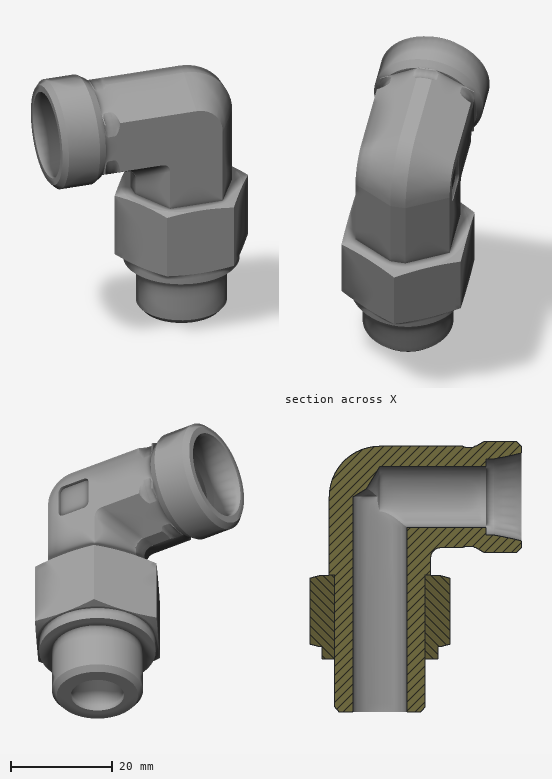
import cadquery as cq
import math

NUT_FLATS = 24.0
NUT_BOTTOM_Z = 12.95
NUT_TOP_Z = 27.0
NUT_CHAMFER_ANGLE = 15
WASHER_DIAMETER = 23
WASHER_BOTTOM_Z = 10.55

STUD_DIAMETER = 18.0
STUD_TIP_DIAMETER = 16.05
STUD_CHAMFER_HEIGHT = 1.1

ARM_FLATS = 18.95
ARM_CUT_HEIGHT = 10.05
INNER_BEND_RADIUS = 1.85
SELECTION_MARGIN = 0.25

COLLAR_DIAMETER = 22.0
COLLAR_BACK_DIAMETER = 20.15
COLLAR_LENGTH = 9.0
COLLAR_BACK_CHAMFER = 1.5
COLLAR_FRONT_CHAMFER = 1.0
FRONT_Y = -28.0

GROOVE_DIAMETER = 19.7
GROOVE_BACK_Y = -16.95
GROOVE_FRONT_Y = -18.3
GROOVE_BACK_RADIUS = 1.1
GROOVE_FRONT_RADIUS = 0.55

CROSS_BORE_DIAMETER = 12.0
STUD_BORE_DIAMETER = 10.5
DRILL_TIP_ANGLE = 118
TUBE_SEAT_DIAMETER = 15
TUBE_SEAT_DEPTH = 7.0
MOUTH_DIAMETER = 17.3
MOUTH_CONE_ANGLE = 24

BADGE_SIZE = 7.0
BADGE_CORNER_RADIUS = 1.2
BADGE_DEPTH = 0.75
BADGE_Y = -0.5
BADGE_Z = 42.0

AXIS_Z = 53.5 - COLLAR_DIAMETER / 2
COLLAR_BACK_Y = FRONT_Y + COLLAR_LENGTH
NUT_CORNER_RADIUS = NUT_FLATS / 2 / math.cos(math.radians(30))


def turned_about_z(points):
    """Solid of revolution about Z from (radius, z) points."""
    return cq.Workplane("YZ").polyline(points).close().revolve(360, (0, 0), (0, 1))


def turned_about_arm(points):
    """Solid of revolution about the horizontal arm's axis from (radius, y) points."""
    return (
        cq.Workplane("XY").polyline(points).close().revolve(360, (0, 0), (0, 1))
        .translate((0, 0, AXIS_Z))
    )


def drill_tip_length(diameter):
    return diameter / 2 / math.tan(math.radians(DRILL_TIP_ANGLE / 2))


def arm_outline():
    """Upper and lower halves of the bar section as (sideways, outward) points from the arm axis."""
    side = ARM_FLATS / 2
    slope = math.tan(math.radians(30))
    edge = side * slope
    corner = 2 * edge
    cut_half_width = (corner - ARM_CUT_HEIGHT) / slope
    upper = [
        (side, edge),
        (cut_half_width, ARM_CUT_HEIGHT),
        (-cut_half_width, ARM_CUT_HEIGHT),
        (-side, edge),
    ]
    lower = [(-sideways, -outward) for sideways, outward in upper]
    return upper, lower


def elbow_blank():
    """Two bars meeting at the bend, rounded outside about the crossing of their axes."""
    upper, lower = arm_outline()
    horizontal = (
        cq.Workplane("XZ").polyline(upper + lower).close().extrude(-COLLAR_BACK_Y)
        .translate((0, 0, AXIS_Z))
    )
    vertical = (
        cq.Workplane("XY", origin=(0, 0, NUT_TOP_Z)).polyline(upper + lower).close()
        .extrude(AXIS_Z - NUT_TOP_Z)
    )
    side = ARM_FLATS / 2
    bend = (
        cq.Workplane("XZ").polyline(upper + [(-side, 0), (side, 0)]).close()
        .revolve(90, (0, 0), (-1, 0))
        .translate((0, 0, AXIS_Z))
    )
    inner_reach = upper[0][1]
    outer_reach = ARM_CUT_HEIGHT + SELECTION_MARGIN
    valley_zone = cq.selectors.BoxSelector(
        (-side, -outer_reach, AXIS_Z - outer_reach),
        (side, -inner_reach, AXIS_Z - inner_reach - SELECTION_MARGIN),
    )
    return horizontal.union(vertical).union(bend).edges(valley_zone).fillet(INNER_BEND_RADIUS)


def collar():
    radius = COLLAR_DIAMETER / 2
    return turned_about_arm([
        (0, COLLAR_BACK_Y),
        (COLLAR_BACK_DIAMETER / 2, COLLAR_BACK_Y),
        (radius, COLLAR_BACK_Y - COLLAR_BACK_CHAMFER),
        (radius, FRONT_Y + COLLAR_FRONT_CHAMFER),
        (radius - COLLAR_FRONT_CHAMFER, FRONT_Y),
        (0, FRONT_Y),
    ])


def relief_groove():
    """Ring with a flat floor that curves up into a wall at each end."""
    floor = GROOVE_DIAMETER / 2
    rim = COLLAR_DIAMETER / 2
    back_wall = GROOVE_BACK_Y + GROOVE_BACK_RADIUS
    front_wall = GROOVE_FRONT_Y - GROOVE_FRONT_RADIUS
    return (
        cq.Workplane("XY").moveTo(floor, GROOVE_FRONT_Y).lineTo(floor, GROOVE_BACK_Y)
        .radiusArc((floor + GROOVE_BACK_RADIUS, back_wall), GROOVE_BACK_RADIUS)
        .lineTo(rim, back_wall)
        .lineTo(rim, front_wall)
        .lineTo(floor + GROOVE_FRONT_RADIUS, front_wall)
        .radiusArc((floor, GROOVE_FRONT_Y), GROOVE_FRONT_RADIUS)
        .close().revolve(360, (0, 0), (0, 1))
        .translate((0, 0, AXIS_Z))
    )


def stud():
    radius = STUD_DIAMETER / 2
    return turned_about_z([
        (0, 0),
        (STUD_TIP_DIAMETER / 2, 0),
        (radius, STUD_CHAMFER_HEIGHT),
        (radius, NUT_TOP_Z),
        (0, NUT_TOP_Z),
    ])


def cross_passage():
    """Tapered mouth, tube seat and drilled bore along the horizontal arm."""
    bore = CROSS_BORE_DIAMETER / 2
    seat = TUBE_SEAT_DIAMETER / 2
    mouth = MOUTH_DIAMETER / 2
    cone_depth = (mouth - seat) / math.tan(math.radians(MOUTH_CONE_ANGLE / 2))
    return turned_about_arm([
        (0, FRONT_Y),
        (mouth, FRONT_Y),
        (seat, FRONT_Y + cone_depth),
        (seat, FRONT_Y + TUBE_SEAT_DEPTH),
        (bore, FRONT_Y + TUBE_SEAT_DEPTH),
        (bore, 0),
        (0, drill_tip_length(CROSS_BORE_DIAMETER)),
    ])


def stud_passage():
    """Drilled bore from the stud tip up to the horizontal arm's axis."""
    bore = STUD_BORE_DIAMETER / 2
    return turned_about_z([
        (0, 0),
        (bore, 0),
        (bore, AXIS_Z),
        (0, AXIS_Z + drill_tip_length(STUD_BORE_DIAMETER)),
    ])


def badge_recess():
    return (
        cq.Workplane("XY").box(2 * BADGE_DEPTH, BADGE_SIZE, BADGE_SIZE)
        .edges("|X").fillet(BADGE_CORNER_RADIUS)
        .translate((-ARM_FLATS / 2, BADGE_Y, BADGE_Z))
    )


def make_elbow():
    """Bent bar with its collar and stud, drilled from both ends."""
    body = elbow_blank().cut(relief_groove()).union(collar()).union(stud())
    return body.cut(cross_passage()).cut(stud_passage()).cut(badge_recess())


def make_nut():
    """Hexagonal nut, coned at both ends, with its washer face and a hole for the stud."""
    flat = NUT_FLATS / 2
    drop = (NUT_CORNER_RADIUS - flat) * math.tan(math.radians(NUT_CHAMFER_ANGLE))
    hexagon = (
        cq.Workplane("XY", origin=(0, 0, NUT_BOTTOM_Z)).polygon(6, 2 * NUT_CORNER_RADIUS)
        .extrude(NUT_TOP_Z - NUT_BOTTOM_Z)
        .rotate((0, 0, 0), (0, 0, 1), 30)
    )
    coned_envelope = turned_about_z([
        (0, NUT_BOTTOM_Z),
        (flat, NUT_BOTTOM_Z),
        (NUT_CORNER_RADIUS, NUT_BOTTOM_Z + drop),
        (NUT_CORNER_RADIUS, NUT_TOP_Z - drop),
        (flat, NUT_TOP_Z),
        (0, NUT_TOP_Z),
    ])
    washer = (
        cq.Workplane("XY", origin=(0, 0, WASHER_BOTTOM_Z)).circle(WASHER_DIAMETER / 2)
        .extrude(NUT_BOTTOM_Z - WASHER_BOTTOM_Z)
    )
    stud_hole = cq.Workplane("XY").circle(STUD_DIAMETER / 2).extrude(NUT_TOP_Z)
    return hexagon.intersect(coned_envelope).union(washer).cut(stud_hole)


elbow = make_elbow()
nut = make_nut()

result = cq.Compound.makeCompound([elbow.solids().val(), nut.solids().val()])